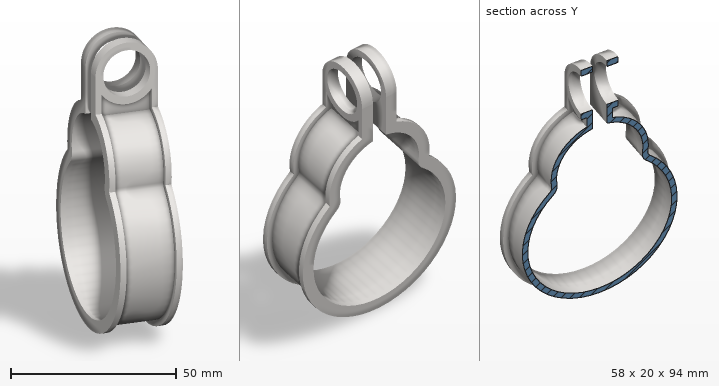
import cadquery as cq
import math

height = 94.0
width = 20.0
large_radius = 58.0 / 2
small_radius = 38.0 / 2
center_spacing = 25.0
wall = 4.0
gap = 5.0
hole_diameter = 15.0
flange_width = 2.0
recess_depth = 2.0

top_z = height - large_radius
ear_radius = width / 2
hole_z = top_z - ear_radius
neck_width = gap + 2 * wall
recess_width = width - 2 * flange_width

shoulder_z = (large_radius**2 - small_radius**2 + center_spacing**2) / (2 * center_spacing)
shoulder_x = math.sqrt(large_radius**2 - shoulder_z**2)


def lobes(inset, depth):
    """Two-lobed outline moved inward by inset and extruded symmetrically along Y."""
    outline = (
        cq.Workplane("XZ")
        .moveTo(shoulder_x, shoulder_z)
        .threePointArc((0, center_spacing + small_radius), (-shoulder_x, shoulder_z))
        .threePointArc((0, -large_radius), (shoulder_x, shoulder_z))
        .close()
    )
    if inset > 0:
        outline = outline.offset2D(-inset, "arc")
    return outline.extrude(depth / 2, both=True)


def neck_block(x_width, y_width, z_top):
    """Block centred on X and Y, rising from the small lobe centre to z_top."""
    return (
        cq.Workplane("XY")
        .workplane(offset=center_spacing)
        .rect(x_width, y_width)
        .extrude(z_top - center_spacing)
    )


def ear_cylinder(radius, length):
    """Cylinder along X through the eye of the ears."""
    return cq.Workplane("YZ").center(0, hole_z).circle(radius).extrude(length / 2, both=True)


clamp = lobes(0, width)
clamp = clamp.union(neck_block(neck_width, width, hole_z))
clamp = clamp.union(ear_cylinder(ear_radius, neck_width))

channel_floor = lobes(recess_depth, width).union(
    neck_block(neck_width - 2 * recess_depth, width, top_z)
)
channel = (
    cq.Workplane("XY")
    .box(2 * height, recess_width, 2 * height)
    .cut(channel_floor)
    .cut(ear_cylinder(ear_radius, neck_width))
)
clamp = clamp.cut(channel)

clamp = clamp.cut(lobes(wall, width))
clamp = clamp.cut(neck_block(gap, width, top_z))
result = clamp.cut(ear_cylinder(hole_diameter / 2, neck_width))